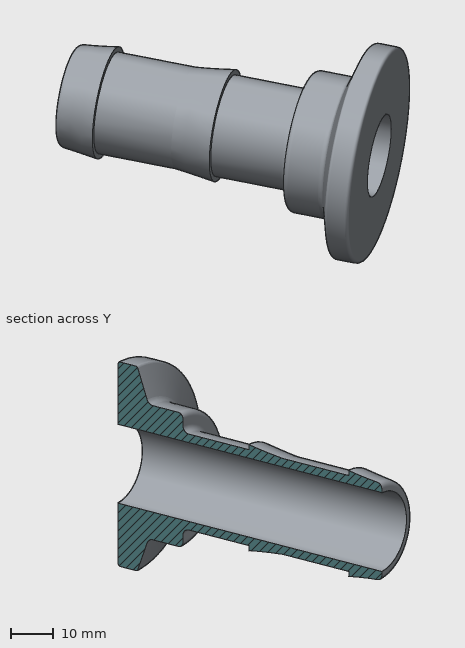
import cadquery as cq
import math


total_length = 75.95
bore_diameter = 19.8

tube_diameter = 24.4
barb_crest_diameter = 26.9
barb_length = 9.65
barb_pitch = 28.6
barb_count = 2

collar_diameter = 34.0
collar_start = 57.1

flange_diameter = 51.8
flange_cone_start = 67.1
flange_cone_angle = 20.0

blend_radius = 1.5
flange_rim_radius = 0.75

tube_radius = tube_diameter / 2
barb_crest_radius = barb_crest_diameter / 2
collar_radius = collar_diameter / 2
flange_radius = flange_diameter / 2
flange_cone_length = (flange_radius - collar_radius) * math.tan(math.radians(flange_cone_angle))
flange_cone_end = flange_cone_start + flange_cone_length


def cylinder(start, end, diameter):
    """Solid cylinder along X from start to end."""
    return cq.Workplane("YZ", origin=(start, 0, 0)).circle(diameter / 2).extrude(end - start)


def outer_body():
    """Solid of revolution with sharp corners: barbed tube, collar and conical flange."""
    profile = cq.Workplane("XY").moveTo(0, 0).lineTo(0, tube_radius)
    for index in range(barb_count):
        barb_start = index * barb_pitch
        barb_end = barb_start + barb_length
        if index > 0:
            profile = profile.lineTo(barb_start, tube_radius)
        profile = profile.lineTo(barb_end, barb_crest_radius)
        profile = profile.lineTo(barb_end, tube_radius)
    profile = (
        profile.lineTo(collar_start, tube_radius)
        .lineTo(collar_start, collar_radius)
        .lineTo(flange_cone_start, collar_radius)
        .lineTo(flange_cone_end, flange_radius)
        .lineTo(total_length, flange_radius)
        .lineTo(total_length, 0)
        .close()
    )
    return profile.revolve(360, (0, 0, 0), (1, 0, 0))


def round_corner(body, x, corner_radius, fillet_radius):
    """Fillet the circular edge at position x whose distance from the axis is corner_radius."""
    margin = 0.1
    search_box = cq.selectors.BoxSelector(
        (x - margin, -corner_radius - margin, -corner_radius - margin),
        (x + margin, corner_radius + margin, corner_radius + margin),
        boundingbox=True,
    )
    circles = body.edges("%CIRCLE").edges(search_box)
    corner = circles.filter(lambda edge: abs(edge.radius() - corner_radius) < margin)
    return corner.fillet(fillet_radius)


body = outer_body()

corners = [
    (0, tube_radius, blend_radius),
    (collar_start, tube_radius, blend_radius),
    (collar_start, collar_radius, blend_radius),
    (flange_cone_start, collar_radius, blend_radius),
    (flange_cone_end, flange_radius, flange_rim_radius),
    (total_length, flange_radius, flange_rim_radius),
]
for x, corner_radius, fillet_radius in corners:
    body = round_corner(body, x, corner_radius, fillet_radius)

result = body.cut(cylinder(0, total_length, bore_diameter))